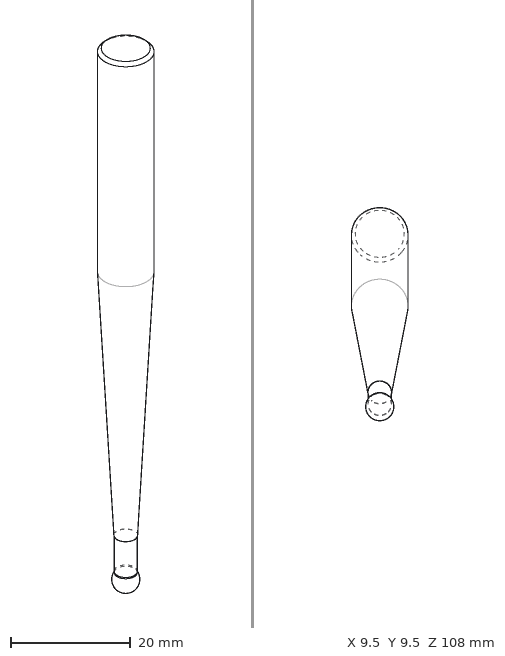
import cadquery as cq
import math

TOTAL_LENGTH = 108.0
SHANK_DIAMETER = 9.5
TOP_CHAMFER = 0.6
TAPER_TOP_Z = 63.6
TAPER_BOTTOM_Z = 11.1
TAPER_BOTTOM_DIAMETER = 4.0
NECK_DIAMETER = 3.9
JOINT_Z = 4.0
BALL_DIAMETER = 4.7

SHANK_RADIUS = SHANK_DIAMETER / 2
TAPER_BOTTOM_RADIUS = TAPER_BOTTOM_DIAMETER / 2
NECK_RADIUS = NECK_DIAMETER / 2
BALL_RADIUS = BALL_DIAMETER / 2
COLLAR_BOTTOM_Z = BALL_RADIUS + math.sqrt(BALL_RADIUS**2 - NECK_RADIUS**2)


def revolve_about_z(profile):
    """Turn a closed XZ half-profile around the Z axis."""
    return profile.revolve(360, (0, 0, 0), (0, 1, 0))


def make_stem():
    """Chamfered shank, long taper and neck with a flat end."""
    profile = (
        cq.Workplane("XZ")
        .moveTo(0, JOINT_Z)
        .lineTo(NECK_RADIUS, JOINT_Z)
        .lineTo(NECK_RADIUS, TAPER_BOTTOM_Z)
        .lineTo(TAPER_BOTTOM_RADIUS, TAPER_BOTTOM_Z)
        .lineTo(SHANK_RADIUS, TAPER_TOP_Z)
        .lineTo(SHANK_RADIUS, TOTAL_LENGTH - TOP_CHAMFER)
        .lineTo(SHANK_RADIUS - TOP_CHAMFER, TOTAL_LENGTH)
        .lineTo(0, TOTAL_LENGTH)
        .close()
    )
    return revolve_about_z(profile)


def make_ball():
    """Ball with a short collar butted against the flat end of the neck."""
    profile = (
        cq.Workplane("XZ")
        .moveTo(0, 0)
        .threePointArc((BALL_RADIUS, BALL_RADIUS), (NECK_RADIUS, COLLAR_BOTTOM_Z))
        .lineTo(NECK_RADIUS, JOINT_Z)
        .lineTo(0, JOINT_Z)
        .close()
    )
    return revolve_about_z(profile)


stem = make_stem()
ball = make_ball()
result = cq.Compound.makeCompound([stem.val(), ball.val()])